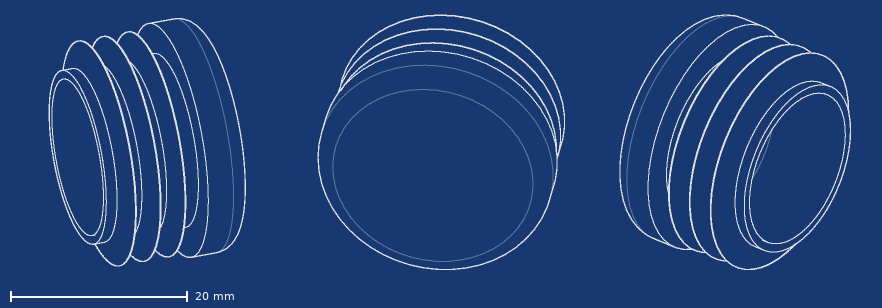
import cadquery as cq


cap_diameter = 26.9
total_length = 16.0

cap_thickness = 5.0
cap_edge_radius = 2.0

stem_diameter = 20.0
bore_diameter = 18.0
wall_thickness = (stem_diameter - bore_diameter) / 2
bore_floor_radius = wall_thickness
floor_thickness = cap_thickness
bore_depth = total_length - floor_thickness

fin_diameter = 25.88
fin_count = 3
fin_pitch = 2.95
fin_gap_to_cap = 2.5
fin_width = 1.3
fin_rim_width = 0.1

open_end = -total_length / 2
cap_underside = total_length / 2 - cap_thickness


def cylinder(diameter, start, length):
    """Cylinder along +Y from the plane Y = start."""
    plane = cq.Plane(origin=(0, start, 0), xDir=(1, 0, 0), normal=(0, 1, 0))
    return cq.Workplane(plane).circle(diameter / 2).extrude(length)


def make_cap():
    disc = cylinder(cap_diameter, cap_underside, cap_thickness)
    return disc.faces(">Y").edges().fillet(cap_edge_radius)


def make_bore():
    core = cylinder(bore_diameter, open_end, bore_depth)
    return core.faces(">Y").edges().fillet(bore_floor_radius)


def make_fin(flat_side):
    """Ring around the stem whose flat face lies at Y = flat_side."""
    root = (stem_diameter - wall_thickness) / 2
    profile = [
        (root, flat_side),
        (fin_diameter / 2, flat_side),
        (fin_diameter / 2, flat_side - fin_rim_width),
        (stem_diameter / 2, flat_side - fin_width),
        (root, flat_side - fin_width),
    ]
    return cq.Workplane("XY").polyline(profile).close().revolve(360, (0, 0, 0), (0, 1, 0))


def make_stem():
    return cylinder(stem_diameter, open_end, cap_underside - open_end)


plug = make_cap().union(make_stem()).cut(make_bore())
for index in range(fin_count):
    plug = plug.union(make_fin(cap_underside - fin_gap_to_cap - index * fin_pitch))

result = plug